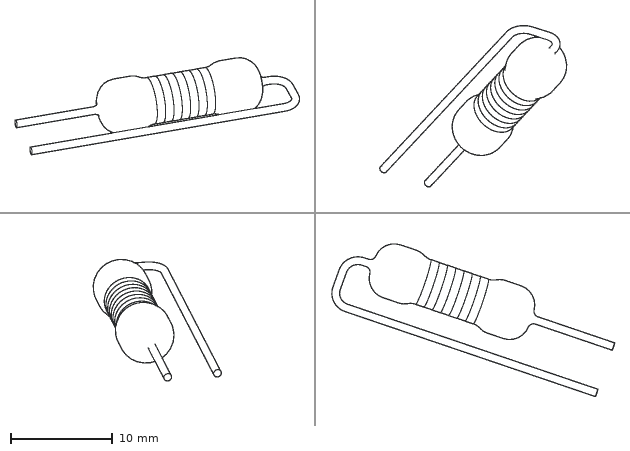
import cadquery as cq
import math

lead_diameter = 0.8
cap_diameter = 5.5
core_diameter = 4.66
band_diameter = 4.7

lead_spacing = 5.0
bend_radius = 1.57
lead_end_y = -16.85
bend_top_y = 11.25

dome_radius = 1.97
dome_start_y = 6.3
shoulder_y = 4.6
core_half_length = 3.0
neck_end_y = 8.85
raised_band_count = 4

lead_radius = lead_diameter / 2
cap_radius = cap_diameter / 2
core_radius = core_diameter / 2

dome_center_x = cap_radius - dome_radius
neck_rise = neck_end_y - dome_start_y
lead_offset = lead_radius - dome_center_x
neck_radius = (lead_offset**2 + neck_rise**2 - dome_radius**2) / (2 * (dome_radius - lead_offset))
neck_center_x = lead_radius + neck_radius
contact_angle = math.atan2(neck_rise, neck_center_x - dome_center_x)

step_drop = (cap_radius - core_radius) / 2
step_run = (shoulder_y - core_half_length) / 2
step_radius = (step_run**2 + step_drop**2) / (2 * step_drop)
step_half_angle = math.asin(step_run / step_radius) / 2


def arc_point(center_x, center_y, radius, angle):
    return (center_x + radius * math.cos(angle), center_y + radius * math.sin(angle))


def end_cap():
    """Revolve the +Y cap, from the end of the core to the lead."""
    step_middle = (cap_radius - step_drop, shoulder_y - step_run)
    cap_step = arc_point(cap_radius - step_radius, shoulder_y, step_radius, -step_half_angle)
    core_step = arc_point(
        core_radius + step_radius, core_half_length, step_radius, math.pi - step_half_angle
    )
    dome_middle = arc_point(dome_center_x, dome_start_y, dome_radius, contact_angle / 2)
    dome_contact = arc_point(dome_center_x, dome_start_y, dome_radius, contact_angle)
    neck_middle = arc_point(
        neck_center_x, neck_end_y, neck_radius, math.pi + contact_angle / 2
    )
    profile = (
        cq.Workplane("XY")
        .moveTo(0, core_half_length)
        .lineTo(core_radius, core_half_length)
        .threePointArc(core_step, step_middle)
        .threePointArc(cap_step, (cap_radius, shoulder_y))
        .lineTo(cap_radius, dome_start_y)
        .threePointArc(dome_middle, dome_contact)
        .threePointArc(neck_middle, (lead_radius, neck_end_y))
        .lineTo(0, neck_end_y)
        .close()
    )
    return profile.revolve(360, (0, 0, 0), (0, 1, 0))


def cylinder_along_y(diameter, start_y, end_y):
    return (
        cq.Workplane("XZ", origin=(0, start_y, 0))
        .circle(diameter / 2)
        .extrude(start_y - end_y)
    )


def bent_lead():
    """Leave the +Y end, turn through two quarter bends and run back along the body."""
    crossbar_y = bend_top_y - lead_radius
    bend_center_y = crossbar_y - bend_radius
    diagonal = bend_radius * math.sqrt(0.5)
    far_bend_x = lead_spacing - bend_radius
    path = (
        cq.Workplane("XY")
        .moveTo(0, neck_end_y)
        .lineTo(0, bend_center_y)
        .threePointArc((bend_radius - diagonal, bend_center_y + diagonal), (bend_radius, crossbar_y))
        .lineTo(far_bend_x, crossbar_y)
        .threePointArc((far_bend_x + diagonal, bend_center_y + diagonal), (lead_spacing, bend_center_y))
        .lineTo(lead_spacing, lead_end_y)
    )
    return cq.Workplane("XZ", origin=(0, neck_end_y, 0)).circle(lead_radius).sweep(path)


cap = end_cap()
core = cylinder_along_y(core_diameter, -core_half_length, core_half_length)
body = core.union(cap).union(cap.mirror("XZ"))

band_width = 2 * core_half_length / (2 * raised_band_count - 1)
for index in range(raised_band_count):
    band_start = -core_half_length + 2 * index * band_width
    body = body.union(cylinder_along_y(band_diameter, band_start, band_start + band_width))

straight_lead = cylinder_along_y(lead_diameter, lead_end_y, -neck_end_y)
result = body.union(straight_lead).union(bent_lead())